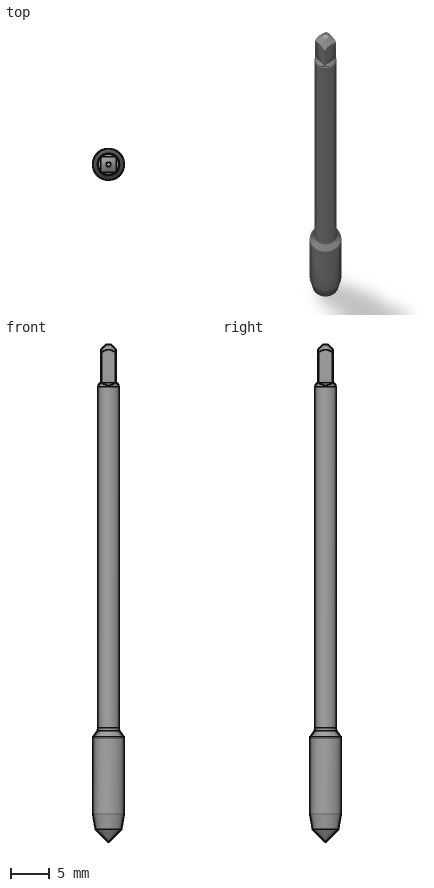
import cadquery as cq

total_length = 64.45

sleeve_diameter = 4.09
point_diameter = 3.4
point_height = 1.7
nose_top = 3.7
barrel_top = 13.5
rim_diameter = 4.03
rim_top = 13.65
collar_diameter = 2.86
collar_bottom = 14.45
sleeve_top = 14.85

shaft_diameter = 2.80
neck_diameter = 2.69
shaft_end = 58.95
square_width = 2.0
flat_start = 59.5
tip_diameter = 0.6


def revolve_profile(points):
    """Solid of revolution about Z from (radius, height) points."""
    return cq.Workplane("XZ").polyline(points).close().revolve(360, (0, 0, 0), (0, 1, 0))


def make_drive_end():
    """Neck milled to a square, with 45 degree run-outs below the flats and a 45 degree crown."""
    neck_radius = neck_diameter / 2
    tip_radius = tip_diameter / 2
    crown_height = neck_radius - tip_radius
    neck = revolve_profile([
        (0, shaft_end),
        (neck_radius, shaft_end),
        (neck_radius, total_length - crown_height),
        (tip_radius, total_length),
        (0, total_length),
    ])
    half_width = square_width / 2
    ramp = neck_diameter - half_width
    cutter = (
        cq.Workplane("XZ")
        .polyline([
            (half_width, flat_start),
            (half_width + ramp, flat_start - ramp),
            (half_width + ramp, total_length),
            (half_width, total_length),
        ])
        .close()
        .extrude(neck_diameter, both=True)
    )
    for angle in (0, 90, 180, 270):
        neck = neck.cut(cutter.rotate((0, 0, 0), (0, 0, 1), angle))
    return neck


def make_shaft():
    """Round rod seated at the nose of the sleeve, carrying the drive end on top."""
    rod = (
        cq.Workplane("XY")
        .workplane(offset=nose_top)
        .circle(shaft_diameter / 2)
        .extrude(shaft_end - nose_top)
    )
    return rod.union(make_drive_end())


def make_sleeve(shaft):
    """Pointed barrel with a tapered nose, a sloped shoulder and a bore that fits the shaft."""
    sleeve_radius = sleeve_diameter / 2
    body = revolve_profile([
        (0, 0),
        (point_diameter / 2, point_height),
        (sleeve_radius, nose_top),
        (sleeve_radius, barrel_top),
        (rim_diameter / 2, rim_top),
        (collar_diameter / 2, collar_bottom),
        (shaft_diameter / 2, sleeve_top),
        (0, sleeve_top),
    ])
    return body.cut(shaft)


shaft = make_shaft()
sleeve = make_sleeve(shaft)
result = cq.Compound.makeCompound([shaft.val(), sleeve.val()])